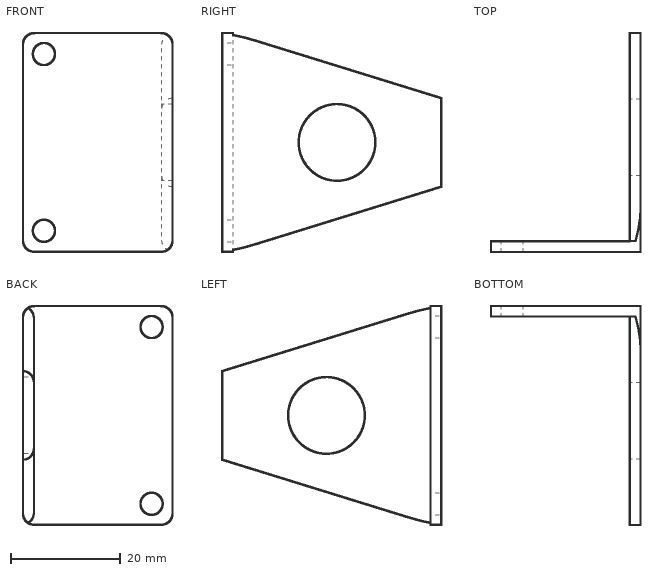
import cadquery as cq

width = 27.4
depth = 40.1
height = 40.0
thickness = 2.0
corner_radius = 2.1
edge_radius = thickness

tip_half_height = 6.0
root_half_height = 17.8

mount_hole_diameter = 4.0
mount_hole_inset = 3.85
web_hole_diameter = 14.0
web_hole_y = 21.0


def rounded_block(length):
    """Rounded plate outline, extruded from the front face toward +Y."""
    return (
        cq.Workplane("XY")
        .box(width, length, height, centered=(False, False, True))
        .edges("|Y")
        .fillet(corner_radius)
    )


def mounting_plate():
    plate = rounded_block(thickness)
    hole_z = height / 2 - mount_hole_inset
    holes = (
        cq.Workplane("XZ")
        .pushPoints([(mount_hole_inset, hole_z), (mount_hole_inset, -hole_z)])
        .circle(mount_hole_diameter / 2)
        .extrude(-thickness)
    )
    return plate.cut(holes)


def edge_round(side):
    """Cylinder along one sloping edge, centred on the outer web face."""
    tip = cq.Vector(width, depth, side * tip_half_height)
    root = cq.Vector(width, thickness, side * root_half_height)
    slope = tip - root
    start = root - slope
    length = 3 * slope.Length
    return cq.Workplane(obj=cq.Solid.makeCylinder(edge_radius, length, start, slope))


def tapered_web():
    web = (
        cq.Workplane("YZ", origin=(width - thickness, 0, 0))
        .moveTo(thickness, -root_half_height)
        .lineTo(depth, -tip_half_height)
        .lineTo(depth, tip_half_height)
        .lineTo(thickness, root_half_height)
        .close()
        .extrude(thickness)
    )
    for side in (1, -1):
        web = web.union(edge_round(side))

    rear_space = cq.Workplane("XY").box(width, depth - thickness, height, centered=(False, False, True))
    web = web.intersect(rounded_block(depth)).intersect(rear_space.translate((0, thickness, 0)))

    hole = (
        cq.Workplane("YZ", origin=(width - thickness, 0, 0))
        .center(web_hole_y, 0)
        .circle(web_hole_diameter / 2)
        .extrude(thickness)
    )
    return web.cut(hole)


result = mounting_plate().union(tapered_web())